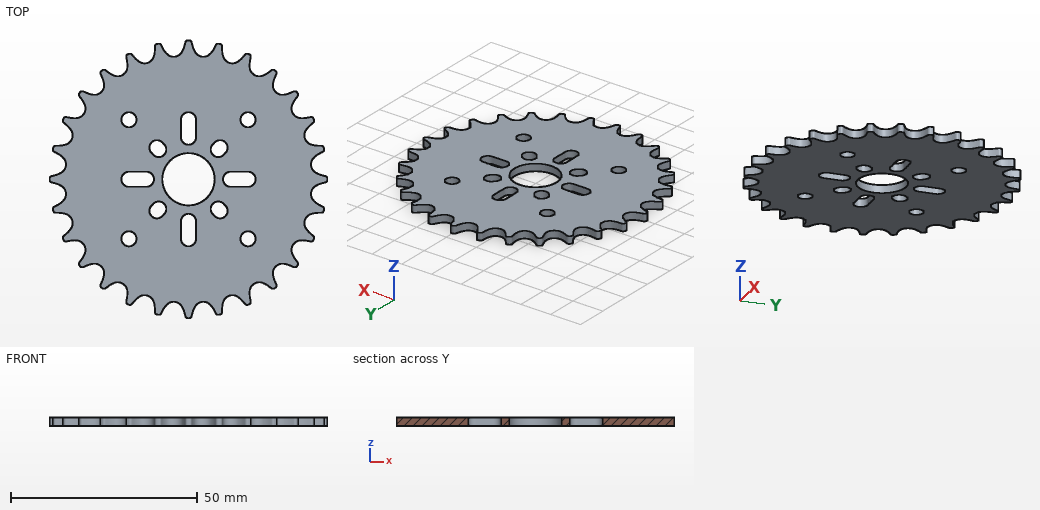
import cadquery as cq
import math

THICKNESS = 2.36
TOOTH_COUNT = 28
CHAIN_PITCH = 8.0
ROLLER_DIAMETER = 5.0
TIP_DIAMETER = 74.7
TIP_ROUNDING = 0.7

TOOTH_STEP = 360 / TOOTH_COUNT
PITCH_RADIUS = CHAIN_PITCH / (2 * math.sin(math.pi / TOOTH_COUNT))
TIP_RADIUS = TIP_DIAMETER / 2
FORM_CLEARANCE = 0.0381
SEAT_RADIUS = 0.5025 * ROLLER_DIAMETER + FORM_CLEARANCE
SEAT_HALF_ANGLE = 55 - 60 / TOOTH_COUNT
WORKING_RADIUS = 1.3025 * ROLLER_DIAMETER + FORM_CLEARANCE
WORKING_SWEEP = 18 - 56 / TOOTH_COUNT
GAP_OVERSHOOT = 0.5
MATCH_TOLERANCE = 0.01

BORE_DIAMETER = 14.0
HOLE_DIAMETER = 4.0
HOLE_GRID = 16.0
SLOT_INNER_RADIUS = HOLE_GRID / math.sqrt(2)
SLOT_COUNT = 4
STRAIGHT_SLOT_OUTER_RADIUS = HOLE_GRID
DIAGONAL_SLOT_OUTER_RADIUS = 12.0


def arc_point(center, radius, angle):
    """Point on an arc, with the angle measured from straight down toward +X."""
    turn = math.radians(angle)
    return (center[0] + radius * math.sin(turn), center[1] - radius * math.cos(turn))


def mirrored(point):
    return (-point[0], point[1])


def tooth_gap():
    """Cutter for one tooth gap, opening toward +Y and symmetric about the Y axis."""
    seat_center = (0, PITCH_RADIUS)
    seat_bottom = arc_point(seat_center, SEAT_RADIUS, 0)
    seat_end = arc_point(seat_center, SEAT_RADIUS, SEAT_HALF_ANGLE)

    working_center = arc_point(seat_center, SEAT_RADIUS - WORKING_RADIUS, SEAT_HALF_ANGLE)
    working_middle = arc_point(working_center, WORKING_RADIUS, SEAT_HALF_ANGLE + WORKING_SWEEP / 2)
    flank_angle = SEAT_HALF_ANGLE + WORKING_SWEEP
    working_end = arc_point(working_center, WORKING_RADIUS, flank_angle)

    outer_y = TIP_RADIUS + GAP_OVERSHOOT
    outer_x = working_end[0] + (outer_y - working_end[1]) / math.tan(math.radians(flank_angle))
    flank_end = (outer_x, outer_y)

    return (
        cq.Workplane("XY")
        .moveTo(*mirrored(flank_end))
        .lineTo(*mirrored(working_end))
        .threePointArc(mirrored(working_middle), mirrored(seat_end))
        .threePointArc(seat_bottom, seat_end)
        .threePointArc(working_middle, working_end)
        .lineTo(*flank_end)
        .close()
        .extrude(THICKNESS)
    )


def is_tip_corner(edge):
    center = edge.Center()
    return abs(math.hypot(center.x, center.y) - TIP_RADIUS) < MATCH_TOLERANCE


def toothed_disc():
    """Disc with a gap cut between every pair of teeth; one tooth points along +Y."""
    disc = cq.Workplane("XY").circle(TIP_RADIUS).extrude(THICKNESS)
    gap = tooth_gap()
    for index in range(TOOTH_COUNT):
        angle = (index + 0.5) * TOOTH_STEP
        disc = disc.cut(gap.rotate((0, 0, 0), (0, 0, 1), angle))
    return disc.edges("|Z").filter(is_tip_corner).fillet(TIP_ROUNDING)


def radial_slots(outer_radius, start_angle):
    """Evenly spaced round-ended radial slots; the radii locate the end centers."""
    middle_radius = (SLOT_INNER_RADIUS + outer_radius) / 2
    length = outer_radius - SLOT_INNER_RADIUS + HOLE_DIAMETER
    return (
        cq.Workplane("XY")
        .polarArray(middle_radius, start_angle, 360, SLOT_COUNT)
        .slot2D(length, HOLE_DIAMETER)
        .extrude(THICKNESS)
    )


def round_openings():
    """Central bore and the four outer mounting holes."""
    bore = cq.Workplane("XY").circle(BORE_DIAMETER / 2).extrude(THICKNESS)
    holes = (
        cq.Workplane("XY")
        .rect(2 * HOLE_GRID, 2 * HOLE_GRID, forConstruction=True)
        .vertices()
        .circle(HOLE_DIAMETER / 2)
        .extrude(THICKNESS)
    )
    return bore.union(holes)


result = (
    toothed_disc()
    .cut(round_openings())
    .cut(radial_slots(STRAIGHT_SLOT_OUTER_RADIUS, 0))
    .cut(radial_slots(DIAGONAL_SLOT_OUTER_RADIUS, 180 / SLOT_COUNT))
)